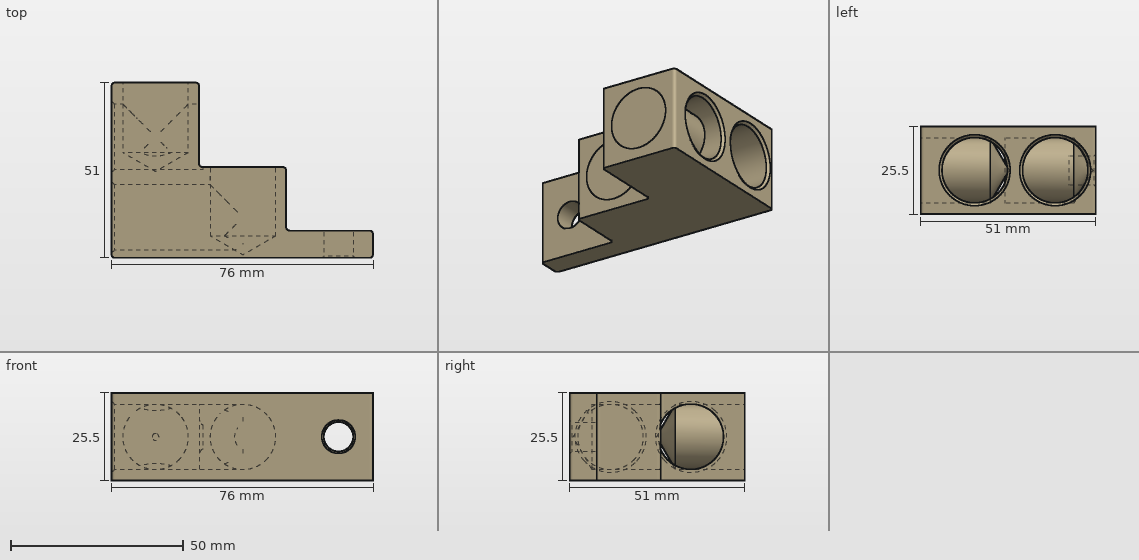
import cadquery as cq
import math

length = 76.0
depth = 51.0
height = 25.5
mid_z = height / 2
tall_step_end = 25.45
middle_step_end = 50.8
middle_step_depth = 26.45
flange_depth = 8.0
corner_radius = 1.0

bore_radius = 9.5
bore_chamfer = 0.8
rear_bore_y = 35.3
front_bore_y = 11.85

pin_radius = bore_radius
pin_tip_angle = 120.0
pin_tip_length = pin_radius / math.tan(math.radians(pin_tip_angle / 2))
rear_pin_x = tall_step_end / 2
front_pin_x = (tall_step_end + middle_step_end) / 2
rear_pin_shoulder_y = 30.7
front_pin_shoulder_y = 6.45

rear_bore_length = tall_step_end + corner_radius
front_bore_length = front_pin_x

mount_hole_x = 66.0
mount_hole_radius = 4.25
mount_hole_chamfer = 0.6


def make_stepped_block():
    """Three-step staircase plate with every vertical edge rounded."""
    outline = [
        (0, 0),
        (length, 0),
        (length, flange_depth),
        (middle_step_end, flange_depth),
        (middle_step_end, middle_step_depth),
        (tall_step_end, middle_step_depth),
        (tall_step_end, depth),
        (0, depth),
    ]
    block = cq.Workplane("XY").polyline(outline).close().extrude(height)
    return block.edges("|Z").fillet(corner_radius)


def make_chamfered_drill(radius, drill_length, chamfer, start, direction):
    """Cutting shape for a round hole with a 45 degree chamfer at its mouth."""
    start_point = cq.Vector(*start)
    axis = cq.Vector(*direction)
    drill = cq.Solid.makeCylinder(radius, drill_length, start_point, axis)
    mouth = cq.Solid.makeCone(radius + chamfer, radius, chamfer, start_point, axis)
    return cq.Workplane(drill).union(cq.Workplane(mouth))


def make_pin(pin_x, shoulder_y, end_y):
    """Cylinder along Y with a conical point on its -Y end and a flat +Y end."""
    profile = [
        (pin_x, shoulder_y - pin_tip_length),
        (pin_x + pin_radius, shoulder_y),
        (pin_x + pin_radius, end_y),
        (pin_x, end_y),
    ]
    pin = cq.Workplane("XY", origin=(0, 0, mid_z)).polyline(profile).close()
    return pin.revolve(360, (pin_x, 0), (pin_x, 1))


pin_places = [
    (rear_pin_x, rear_pin_shoulder_y, depth),
    (front_pin_x, front_pin_shoulder_y, middle_step_depth),
]
pins = [make_pin(*place) for place in pin_places]

block = make_stepped_block()
bore_places = [
    (rear_bore_y, rear_bore_length),
    (front_bore_y, front_bore_length),
]
for bore_y, bore_length in bore_places:
    bore_start = (0, bore_y, mid_z)
    block = block.cut(make_chamfered_drill(bore_radius, bore_length, bore_chamfer, bore_start, (1, 0, 0)))

mount_hole_start = (mount_hole_x, 0, mid_z)
block = block.cut(
    make_chamfered_drill(mount_hole_radius, flange_depth, mount_hole_chamfer, mount_hole_start, (0, 1, 0))
)

for pin in pins:
    block = block.cut(pin)

result = cq.Compound.makeCompound([block.solids().val(), *[pin.val() for pin in pins]])